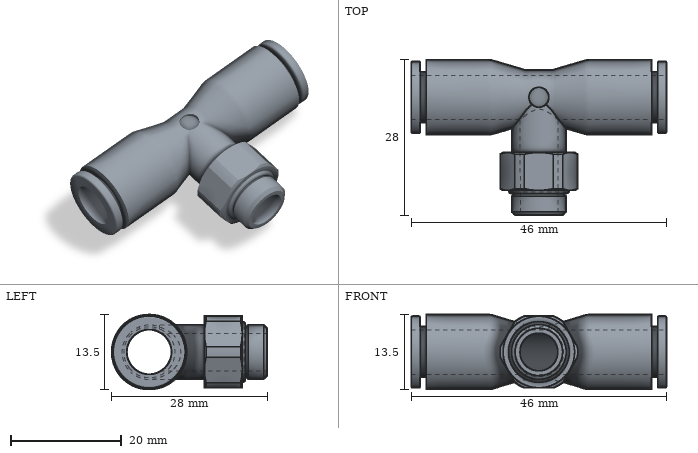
import cadquery as cq
import math


run_half_length = 23.0
run_bore_radius = 4.0
socket_radius = 6.75
socket_outer_x = 20.35
socket_inner_x = 8.7
neck_radius = 4.9
neck_half_length = 2.45
cone_blend_radius = 2.0

collar_radius = 6.5
collar_thickness = 1.6
collar_edge_round = 0.3
collar_stem_radius = 4.6

branch_radius = neck_radius
branch_bore_radius = 3.4
branch_length = 21.25
nut_start = 9.95
nut_end = 16.8
nut_across_flats = 12.95
nut_corner_radius = 7.0
nut_face_radius = 6.45
nut_chamfer_angle = 30.0
seal_section_radius = 0.55
thread_lead_in = 0.5
thread_end_chamfer = 0.65

recess_radius = 1.8
recess_floor_z = 4.2


def make_run():
    """Sockets, cones and neck as one solid of revolution about X."""
    profile = [
        (-socket_outer_x, 0),
        (-socket_outer_x, socket_radius),
        (-socket_inner_x, socket_radius),
        (-neck_half_length, neck_radius),
        (neck_half_length, neck_radius),
        (socket_inner_x, socket_radius),
        (socket_outer_x, socket_radius),
        (socket_outer_x, 0),
    ]
    run = cq.Workplane("XY").polyline(profile).close().revolve(360, (0, 0, 0), (1, 0, 0))
    cone_ends = run.edges("%CIRCLE").edges("not(<X or >X)")
    return cone_ends.fillet(cone_blend_radius)


def make_collar(side):
    """Rounded collar and its stem; side is -1 or +1 along X."""
    disc = (
        cq.Workplane("YZ", origin=(side * (run_half_length - collar_thickness / 2), 0, 0))
        .cylinder(collar_thickness, collar_radius)
        .edges()
        .fillet(collar_edge_round)
    )
    stem_length = run_half_length - collar_thickness - socket_inner_x
    stem = cq.Workplane("YZ", origin=(side * (socket_inner_x + stem_length / 2), 0, 0)).cylinder(
        stem_length, collar_stem_radius
    )
    return disc.union(stem)


def make_nut():
    """Hexagon with flats on top and bottom, trimmed by a turned, chamfered blank."""
    chamfer_length = (nut_corner_radius - nut_face_radius) * math.tan(math.radians(nut_chamfer_angle))
    blank_profile = [
        (0, -nut_start),
        (nut_face_radius, -nut_start),
        (nut_corner_radius, -nut_start - chamfer_length),
        (nut_corner_radius, -nut_end + chamfer_length),
        (nut_face_radius, -nut_end),
        (0, -nut_end),
    ]
    blank = cq.Workplane("XY").polyline(blank_profile).close().revolve(360, (0, 0, 0), (0, 1, 0))
    hexagon = (
        cq.Workplane("XZ", origin=(0, -nut_start, 0))
        .polygon(6, nut_across_flats / math.cos(math.radians(30)))
        .extrude(nut_end - nut_start)
    )
    return hexagon.intersect(blank)


def make_branch():
    """Barrel, sealing ring and thread as one solid of revolution about Y."""
    seal_end = nut_end + seal_section_radius
    groove_radius = branch_radius - thread_lead_in
    groove_start = nut_end + math.sqrt(seal_section_radius**2 - thread_lead_in**2)
    return (
        cq.Workplane("XY")
        .lineTo(branch_radius, 0)
        .lineTo(branch_radius, -nut_end)
        .lineTo(branch_radius + seal_section_radius, -nut_end)
        .threePointArc((branch_radius, -seal_end), (groove_radius, -groove_start))
        .lineTo(groove_radius, -seal_end)
        .lineTo(branch_radius, -seal_end - thread_lead_in)
        .lineTo(branch_radius, -branch_length + thread_end_chamfer)
        .lineTo(branch_radius - thread_end_chamfer, -branch_length)
        .lineTo(0, -branch_length)
        .close()
        .revolve(360, (0, 0, 0), (0, 1, 0))
    )


run_bore = cq.Workplane("YZ").cylinder(2 * run_half_length, run_bore_radius)
branch_bore = cq.Workplane("XZ").circle(branch_bore_radius).extrude(branch_length)
recess = (
    cq.Workplane("XY", origin=(0, 0, recess_floor_z))
    .circle(recess_radius)
    .extrude(socket_radius - recess_floor_z)
)

body = make_run().union(make_branch()).union(make_nut())
for side in (-1, 1):
    body = body.union(make_collar(side))

result = body.cut(run_bore).cut(branch_bore).cut(recess)